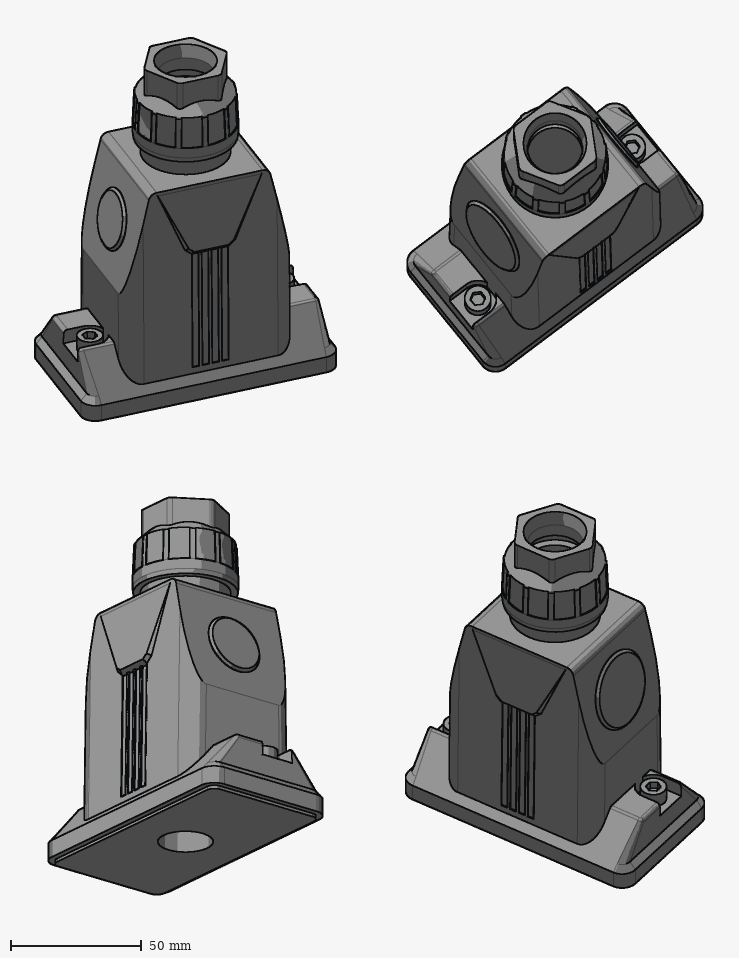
import cadquery as cq
import math

HEIGHT = 135.5
BASE_X = 57.0
BASE_Y = 105.0

LIP_TOP = 1.4
LIP_INSET = 2.6
RIM_TOP = 8.3
RIM_RADIUS = 6.1
SKIRT_TOP = 11.1
SKIRT_INSET_Y = 2.5
SKIRT_RADIUS = 3.5
RIDGE_TOP = 25.5
RIDGE_TOP_X = 27.1
RIDGE_TOP_Y = 99.2
SKIRT_INSET_X = (BASE_X - RIDGE_TOP_X) / 2 * (SKIRT_TOP - RIM_TOP) / (RIDGE_TOP - RIM_TOP)
RIDGE_TOP_RADIUS = 1.6
RIDGE_EDGE_RADIUS = 1.6

SCREW_X = 5.5
SCREW_Y = 41.7
SCREW_HEAD_RADIUS = 5.0
SCREW_HEAD_HEIGHT = 5.8
SOCKET_WIDTH = 5.0
SOCKET_DEPTH = 3.0
SCREW_POCKET_WIDTH = 14.2
SCREW_POCKET_FLOOR = RIDGE_TOP - SCREW_HEAD_HEIGHT
END_ANGLES = (0, 180)

HOOD_TOP = 95.1
HOOD_TOP_HALF_X = 24.3
HOOD_FOOT_HALF_X = 25.6
HOOD_HALF_Y = 35.1
HOOD_TOP_HALF_Y = 24.5
HOOD_SHOULDER = 49.5
HOOD_CORNER_RADIUS = 7.5
HOOD_TOP_RADIUS = 3.4
HOOD_END_LEAN = math.atan2(HOOD_HALF_Y - HOOD_TOP_HALF_Y, HOOD_TOP - HOOD_SHOULDER)

PAD_TOP = 94.0
PAD_TOP_HALF_Y = 21.7
PAD_BEND_HALF_Y = 10.8
PAD_BEND = 67.0
PAD_FOOT_HALF_Y = 7.9
PAD_FOOT = 64.4
PAD_FOOT_HALF_X = 26.4
PAD_BEVEL = 45.0
PAD_DEPTH = 3.4

GROOVE_COUNT = 4
GROOVE_WIDTH = 2.7
GROOVE_PITCH = 4.0
GROOVE_DEPTH = 0.4
GROOVE_FOOT = 14.5

BADGE_Z = 71.5
BADGE_HEIGHT = 1.2
FRONT_BADGE_RADIUS = 12.2
BACK_BADGE_RADIUS = 15.7
BADGE_BEVEL = 1.1

NECK_RADIUS = 17.3
CAP_BOTTOM = 102.5
CAP_BOTTOM_RADIUS = 20.0
BAND_BOTTOM = 104.5
BAND_TOP = 108.7
BAND_RADIUS = 20.3
RIB_TOP = 121.7
RIB_TOP_RADIUS = 19.8
RIB_COUNT = 12
RIB_WIDTH = 2.3
RIB_HEIGHT = 0.4
CONE_TOP = 127.1
CONE_TOP_RADIUS = 13.5
HEX_WIDTH = 29.8
HEX_EDGE_RADIUS = 2.3
HEX_TURN = 30

BORE_RADIUS = 10.6
MOUTH_RADIUS = 12.0
MOUTH_DEPTH = 5.2
SEAL_RECESS_RADIUS = 13.7
SEAL_RECESS_BOTTOM = 120.4
SEAL_RECESS_TOP = 125.1


def rounded_block(bottom, height, size_x, size_y, radius):
    """Upright block with rounded corners."""
    outline = cq.Sketch().rect(size_x, size_y).vertices().fillet(radius)
    return cq.Workplane("XY", origin=(0, 0, bottom)).placeSketch(outline).extrude(height)


def ruled_loft(lower, upper):
    """Straight-sided solid between two (height, size_x, size_y, radius) rounded rectangles."""
    outlines = []
    for height, size_x, size_y, radius in (lower, upper):
        outline = cq.Sketch().rect(size_x, size_y).vertices().fillet(radius)
        outlines.append(outline.moved(cq.Location(cq.Vector(0, 0, height))))
    return cq.Workplane("XY").placeSketch(*outlines).loft(ruled=True)


def revolved_about_z(points):
    """Solid of revolution about Z from (radius, height) points."""
    return cq.Workplane("XZ").polyline(points).close().revolve(360, (0, 0), (0, 1))


def hexagon(width, bottom, height, turn=0):
    """Hexagonal prism standing on height bottom, with corners on the X axis unless turned."""
    across_corners = width / math.cos(math.pi / 6)
    prism = cq.Workplane("XY", origin=(0, 0, bottom)).polygon(6, across_corners).extrude(height)
    return prism.rotate((0, 0, 0), (0, 0, 1), turn)


def make_base():
    lip_x = BASE_X - 2 * LIP_INSET
    lip_y = BASE_Y - 2 * LIP_INSET
    lip = rounded_block(0, LIP_TOP, lip_x, lip_y, RIM_RADIUS - LIP_INSET)
    rim = rounded_block(LIP_TOP, RIM_TOP - LIP_TOP, BASE_X, BASE_Y, RIM_RADIUS)

    rim_section = (RIM_TOP, BASE_X, BASE_Y, RIM_RADIUS)
    skirt_section = (SKIRT_TOP, BASE_X - 2 * SKIRT_INSET_X, BASE_Y - 2 * SKIRT_INSET_Y, SKIRT_RADIUS)
    ridge_section = (RIDGE_TOP, RIDGE_TOP_X, RIDGE_TOP_Y, RIDGE_TOP_RADIUS)
    skirt = ruled_loft(rim_section, skirt_section)
    ridge = ruled_loft(skirt_section, ridge_section).faces(">Z").edges().fillet(RIDGE_EDGE_RADIUS)
    base = lip.union(rim).union(skirt).union(ridge)

    for angle in END_ANGLES:
        base = base.cut(make_screw_pocket().rotate((0, 0, 0), (0, 0, 1), angle))
    return base


def make_screw_pocket():
    """Round-ended pocket around the front screw, open towards -Y."""
    floor = cq.Workplane("XY", origin=(SCREW_X, -SCREW_Y, SCREW_POCKET_FLOOR))
    round_end = floor.circle(SCREW_POCKET_WIDTH / 2).extrude(SCREW_HEAD_HEIGHT)
    channel_length = BASE_Y / 2 - SCREW_Y
    channel = floor.center(0, -channel_length / 2).rect(SCREW_POCKET_WIDTH, channel_length)
    return round_end.union(channel.extrude(SCREW_HEAD_HEIGHT))


def make_hood():
    """Hood that tapers in X over its full height and in Y above its shoulder."""
    cross_section = [
        (-HOOD_FOOT_HALF_X, RIM_TOP),
        (HOOD_FOOT_HALF_X, RIM_TOP),
        (HOOD_TOP_HALF_X, HOOD_TOP),
        (-HOOD_TOP_HALF_X, HOOD_TOP),
    ]
    tapered_block = cq.Workplane("XZ").polyline(cross_section).close().extrude(HOOD_HALF_Y, both=True)
    tapered_block = tapered_block.edges("(not |Y) and (not |X)").fillet(HOOD_CORNER_RADIUS)

    side_outline = [
        (-HOOD_HALF_Y, RIM_TOP),
        (HOOD_HALF_Y, RIM_TOP),
        (HOOD_HALF_Y, HOOD_SHOULDER),
        (HOOD_TOP_HALF_Y, HOOD_TOP),
        (-HOOD_TOP_HALF_Y, HOOD_TOP),
        (-HOOD_HALF_Y, HOOD_SHOULDER),
    ]
    side_shape = cq.Workplane("YZ").polyline(side_outline).close().extrude(BASE_X / 2, both=True)
    side_shape = side_shape.faces(">Z").edges("|X").fillet(HOOD_TOP_RADIUS)
    return tapered_block.intersect(side_shape)


def make_pad():
    """Bevelled pad on the +X side, cut to a face that stands out further towards its foot."""
    outline = [
        (-PAD_TOP_HALF_Y, PAD_TOP),
        (-PAD_BEND_HALF_Y, PAD_BEND),
        (-PAD_FOOT_HALF_Y, PAD_FOOT),
        (PAD_FOOT_HALF_Y, PAD_FOOT),
        (PAD_BEND_HALF_Y, PAD_BEND),
        (PAD_TOP_HALF_Y, PAD_TOP),
    ]
    bevelled = (
        cq.Workplane("YZ", origin=(HOOD_TOP_HALF_X, 0, 0))
        .polyline(outline)
        .close()
        .extrude(PAD_DEPTH, taper=PAD_BEVEL)
    )
    face_limit = [(0, PAD_TOP), (HOOD_TOP_HALF_X, PAD_TOP), (PAD_FOOT_HALF_X, PAD_FOOT), (0, PAD_FOOT)]
    limit = cq.Workplane("XZ").polyline(face_limit).close().extrude(PAD_TOP_HALF_Y, both=True)
    return bevelled.intersect(limit)


def make_grooves():
    """Shallow vertical grooves that follow the leaning +X wall of the hood."""
    lean = (HOOD_FOOT_HALF_X - HOOD_TOP_HALF_X) / (HOOD_TOP - RIM_TOP)
    foot_x = HOOD_TOP_HALF_X + lean * (HOOD_TOP - GROOVE_FOOT)
    head_x = HOOD_TOP_HALF_X + lean * (HOOD_TOP - PAD_BEND)
    profile = [
        (foot_x - GROOVE_DEPTH, GROOVE_FOOT),
        (BASE_X / 2, GROOVE_FOOT),
        (BASE_X / 2, PAD_BEND),
        (head_x - GROOVE_DEPTH, PAD_BEND),
    ]
    outer_y = (GROOVE_COUNT - 1) / 2 * GROOVE_PITCH
    first = cq.Workplane("XZ").polyline(profile).close().extrude(GROOVE_WIDTH / 2, both=True)
    return [first.translate((0, index * GROOVE_PITCH - outer_y, 0)) for index in range(GROOVE_COUNT)]


def make_badge(radius):
    """Bevelled disc on the sloped -Y end of the hood."""
    surface_y = HOOD_TOP_HALF_Y + (HOOD_TOP - BADGE_Z) * math.tan(HOOD_END_LEAN)
    outward = cq.Vector(0, -math.cos(HOOD_END_LEAN), math.sin(HOOD_END_LEAN))
    plane = cq.Plane((0, -surface_y, BADGE_Z), (1, 0, 0), outward)
    disc = cq.Workplane(plane).circle(radius).extrude(BADGE_HEIGHT)
    outer_face = cq.selectors.DirectionMinMaxSelector(outward)
    return disc.faces(outer_face).edges().chamfer(BADGE_BEVEL)


def make_gland():
    """Neck, ribbed cap and hexagon of the cable gland, without the passage."""
    core = revolved_about_z([
        (0, HOOD_TOP),
        (NECK_RADIUS, HOOD_TOP),
        (NECK_RADIUS, CAP_BOTTOM),
        (CAP_BOTTOM_RADIUS, CAP_BOTTOM),
        (BAND_RADIUS, BAND_BOTTOM),
        (BAND_RADIUS, BAND_TOP),
        (BAND_RADIUS - RIB_HEIGHT, BAND_TOP),
        (RIB_TOP_RADIUS - RIB_HEIGHT, RIB_TOP),
        (CONE_TOP_RADIUS, CONE_TOP),
        (0, CONE_TOP),
    ])
    rib_envelope = revolved_about_z([
        (0, BAND_TOP),
        (BAND_RADIUS, BAND_TOP),
        (RIB_TOP_RADIUS, RIB_TOP - RIB_HEIGHT),
        (RIB_TOP_RADIUS - RIB_HEIGHT, RIB_TOP),
        (0, RIB_TOP),
    ])
    bar_plane = cq.Workplane("XY", origin=(0, 0, BAND_TOP))
    bar = bar_plane.rect(2 * BAND_RADIUS, RIB_WIDTH).extrude(RIB_TOP - BAND_TOP)
    gland = core
    for index in range(RIB_COUNT // 2):
        turned_bar = bar.rotate((0, 0, 0), (0, 0, 1), index * 360 / RIB_COUNT)
        gland = gland.union(turned_bar.intersect(rib_envelope))

    hex_head = hexagon(HEX_WIDTH, RIB_TOP, HEIGHT - RIB_TOP, turn=HEX_TURN)
    return gland.union(hex_head.edges("|Z").fillet(HEX_EDGE_RADIUS))


def make_passage():
    """Bore through the whole housing, with a tapered mouth and a seal recess inside the cap."""
    return revolved_about_z([
        (0, 0),
        (BORE_RADIUS, 0),
        (BORE_RADIUS, SEAL_RECESS_BOTTOM),
        (SEAL_RECESS_RADIUS, SEAL_RECESS_BOTTOM),
        (SEAL_RECESS_RADIUS, SEAL_RECESS_TOP),
        (BORE_RADIUS, SEAL_RECESS_TOP),
        (BORE_RADIUS, HEIGHT - MOUTH_DEPTH),
        (MOUTH_RADIUS, HEIGHT),
        (0, HEIGHT),
    ])


def make_housing():
    hood = make_hood()
    for angle in END_ANGLES:
        for groove in make_grooves():
            hood = hood.cut(groove.rotate((0, 0, 0), (0, 0, 1), angle))
        hood = hood.union(make_pad().rotate((0, 0, 0), (0, 0, 1), angle))
    hood = hood.union(make_badge(FRONT_BADGE_RADIUS))
    hood = hood.union(make_badge(BACK_BADGE_RADIUS).rotate((0, 0, 0), (0, 0, 1), 180))
    return make_base().union(hood).union(make_gland()).cut(make_passage())


def make_screw(angle):
    """Socket-head screw resting on the pocket floor at one end of the base."""
    floor = cq.Workplane("XY", origin=(SCREW_X, -SCREW_Y, SCREW_POCKET_FLOOR))
    head = floor.circle(SCREW_HEAD_RADIUS).extrude(SCREW_HEAD_HEIGHT)
    socket = hexagon(SOCKET_WIDTH, RIDGE_TOP - SOCKET_DEPTH, SOCKET_DEPTH)
    screw = head.cut(socket.translate((SCREW_X, -SCREW_Y, 0)))
    return screw.rotate((0, 0, 0), (0, 0, 1), angle)


housing = make_housing()
screws = [make_screw(angle) for angle in END_ANGLES]

result = cq.Compound.makeCompound([housing.val(), *[screw.val() for screw in screws]])